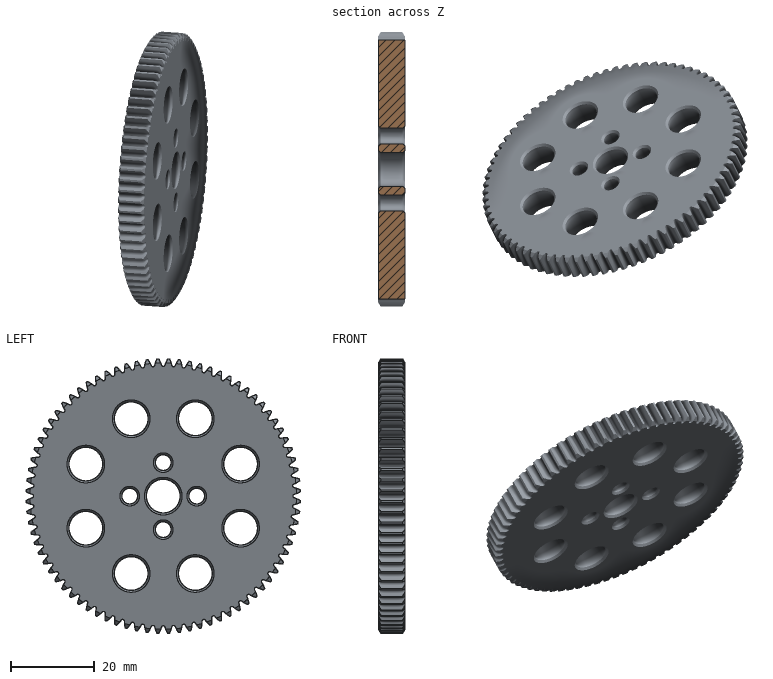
import cadquery as cq
import math

MODULE = 0.8
TEETH = 80
WIDTH = 6.35

PITCH_RADIUS = MODULE * TEETH / 2
TIP_RADIUS = PITCH_RADIUS + MODULE
ROOT_RADIUS = PITCH_RADIUS - 1.25 * MODULE
TOOTH_PITCH = 2 * math.pi / TEETH
TIP_THICKNESS = 0.46
ROOT_ROUND_RADIUS = 0.41
ROOT_FLANK_SLOPE = math.radians(17)

TIP_BEVEL_WIDTH = 0.6
TIP_BEVEL_DEPTH = 1.0

BORE_DIAMETER = 8.0
LARGE_HOLE_DIAMETER = 8.0
LARGE_HOLE_COUNT = 8
LARGE_HOLE_CIRCLE_RADIUS = 20.0
SMALL_HOLE_DIAMETER = 3.7
SMALL_HOLE_COUNT = 4
SMALL_HOLE_CIRCLE_RADIUS = 8.0
HOLE_CHAMFER = 0.5


def polar(radius, angle):
    return (radius * math.cos(angle), radius * math.sin(angle))


def turned(point, angle):
    """Turn a point about the gear center."""
    y, z = point
    cosine, sine = math.cos(angle), math.sin(angle)
    return (y * cosine - z * sine, y * sine + z * cosine)


def mirrored(point):
    y, z = point
    return (y, -z)


def flank_points():
    """Start, middle and tip of a convex flank arc beside a tooth space on +Y, tangent to its round root."""
    start = (
        ROOT_RADIUS + ROOT_ROUND_RADIUS * (1 - math.sin(ROOT_FLANK_SLOPE)),
        ROOT_ROUND_RADIUS * math.cos(ROOT_FLANK_SLOPE),
    )
    tip = polar(TIP_RADIUS, TOOTH_PITCH / 2 - TIP_THICKNESS / (2 * TIP_RADIUS))
    run = tip[0] - start[0]
    rise = tip[1] - start[1]
    half_bulge = math.tan((math.atan2(rise, run) - ROOT_FLANK_SLOPE) / 2) / 2
    middle = (
        (start[0] + tip[0]) / 2 + half_bulge * rise,
        (start[1] + tip[1]) / 2 - half_bulge * run,
    )
    return start, middle, tip


def gear_outline():
    """Closed gear outline with a tooth space centered on +Y."""
    start, middle, tip = flank_points()
    outline = cq.Workplane("YZ").moveTo(*mirrored(start))
    for tooth in range(TEETH):
        angle = tooth * TOOTH_PITCH
        next_angle = angle + TOOTH_PITCH
        outline = (
            outline
            .threePointArc(polar(ROOT_RADIUS, angle), turned(start, angle))
            .threePointArc(turned(middle, angle), turned(tip, angle))
            .threePointArc(polar(TIP_RADIUS, angle + TOOTH_PITCH / 2), turned(mirrored(tip), next_angle))
            .threePointArc(turned(mirrored(middle), next_angle), turned(mirrored(start), next_angle))
        )
    return outline.close()


def revolved_about_x(profile):
    """Solid of revolution about the X axis from (x, radius) points."""
    return cq.Workplane("XY").polyline(profile).close().revolve(360, (0, 0, 0), (1, 0, 0))


def beveled_blank():
    """Disc with both rims beveled; it trims the tooth ends."""
    rim = TIP_RADIUS - TIP_BEVEL_DEPTH
    return revolved_about_x([
        (0, 0),
        (0, rim),
        (TIP_BEVEL_WIDTH, TIP_RADIUS),
        (WIDTH - TIP_BEVEL_WIDTH, TIP_RADIUS),
        (WIDTH, rim),
        (WIDTH, 0),
    ])


def drill(body, diameter, centers):
    """Through holes with a chamfer at both faces."""
    radius = diameter / 2
    cutter = revolved_about_x([
        (0, 0),
        (0, radius + HOLE_CHAMFER),
        (HOLE_CHAMFER, radius),
        (WIDTH - HOLE_CHAMFER, radius),
        (WIDTH, radius + HOLE_CHAMFER),
        (WIDTH, 0),
    ])
    for y, z in centers:
        body = body.cut(cutter.translate((0, y, z)))
    return body


def ring(count, radius, first_angle):
    """Centers spaced evenly around a circle."""
    return [polar(radius, first_angle + i * 2 * math.pi / count) for i in range(count)]


blank = beveled_blank()
blank = drill(blank, BORE_DIAMETER, [(0, 0)])
blank = drill(
    blank,
    LARGE_HOLE_DIAMETER,
    ring(LARGE_HOLE_COUNT, LARGE_HOLE_CIRCLE_RADIUS, math.pi / LARGE_HOLE_COUNT),
)
blank = drill(blank, SMALL_HOLE_DIAMETER, ring(SMALL_HOLE_COUNT, SMALL_HOLE_CIRCLE_RADIUS, 0))

gear = blank.intersect(gear_outline().extrude(WIDTH))
result = gear.translate((-WIDTH / 2, 0, 0))